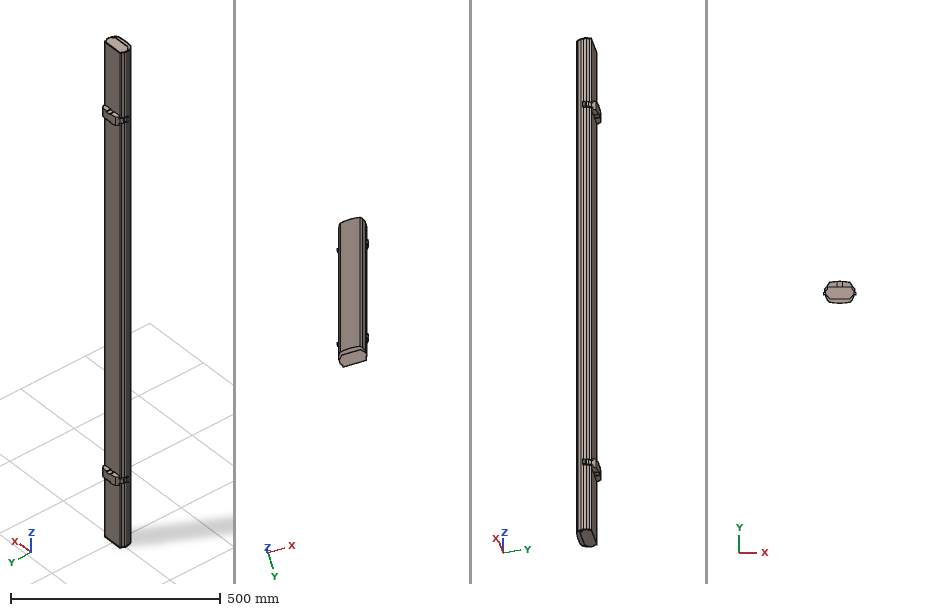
import cadquery as cq

total_length = 1498.7
cap_plate_thickness = 2.0
cap_panel_rise = 1.0
body_length = total_length - 2 * (cap_plate_thickness + cap_panel_rise)

back_half_width = 29.0
back_y = 13.0
bevel_y = 8.5
side_half_width = 33.5
side_back_y = 3.0
side_front_y = -5.0
joint_half_width = 23.5
joint_y = -16.0

lens_rim_y = -10.5
lens_cheek_half_width = 29.0
lens_cheek_y = -20.0
lens_shoulder_half_width = 24.5
lens_shoulder_y = -24.0
lens_arc_half_width = 15.5
lens_arc_y = -25.4
lens_front_y = -26.35

bracket_spacing = 1089.0
clip_height = 14.0
barb_half_width = 38.86
barb_front_y = -6.0
barb_back_y = 0.0
clip_side_half_width = 36.0
clip_bend_y = 8.0
clip_root_half_width = 31.0
clip_root_y = 14.0
pad_height = 27.0
pad_end_rise = 1.0
pad_side_y = 17.0
pad_half_width = 29.0
pad_arc_half_width = 24.0
pad_arc_y = 24.0
pad_back_y = 26.35
notch_width = 13.0
notch_depth = 2.5


housing_half_outline = [
    (joint_half_width, joint_y),
    (side_half_width, side_front_y),
    (side_half_width, side_back_y),
    (back_half_width, bevel_y),
    (back_half_width, back_y),
]

lens_side_outline = [
    (lens_shoulder_half_width, lens_shoulder_y),
    (lens_cheek_half_width, lens_cheek_y),
    (side_half_width, lens_rim_y),
]


def arc_fronted_prism(arc_half_width, arc_y, arc_middle_y, side_outline, height, bottom_z):
    """Extrude a symmetric outline: an arc across X = 0, then the +X side points and their mirror image."""
    outline = (
        cq.Workplane("XY")
        .workplane(offset=bottom_z)
        .moveTo(-arc_half_width, arc_y)
        .threePointArc((0, arc_middle_y), (arc_half_width, arc_y))
    )
    for x, y in side_outline:
        outline = outline.lineTo(x, y)
    for x, y in reversed(side_outline):
        outline = outline.lineTo(-x, y)
    return outline.close().extrude(height)


def flat_prism(half_outline, height, bottom_z):
    """Extrude a straight-sided outline given by its +X half."""
    other_half = [(-x, y) for x, y in reversed(half_outline)]
    outline = cq.Workplane("XY").workplane(offset=bottom_z).polyline(half_outline + other_half)
    return outline.close().extrude(height)


def make_envelope(height, bottom_z):
    """Prism with the outer section of housing and lens together."""
    side_outline = lens_side_outline + housing_half_outline[1:]
    return arc_fronted_prism(
        lens_arc_half_width, lens_arc_y, lens_front_y, side_outline, height, bottom_z
    )


def make_housing():
    return flat_prism(housing_half_outline, body_length, -body_length / 2)


def make_lens(housing):
    """Diffuser that fills the section in front of the housing."""
    return make_envelope(body_length, -body_length / 2).cut(housing)


def make_top_cap():
    """Plate over the whole section, with a raised panel of the housing section."""
    plate_bottom_z = body_length / 2
    plate = make_envelope(cap_plate_thickness, plate_bottom_z)
    panel = flat_prism(housing_half_outline, cap_panel_rise, plate_bottom_z + cap_plate_thickness)
    return plate.union(panel)


def make_bracket_pad():
    """Thick pad behind the housing, with arched ends and a curved back."""
    pad = arc_fronted_prism(
        pad_arc_half_width,
        pad_arc_y,
        pad_back_y,
        [(pad_half_width, pad_side_y), (pad_half_width, back_y)],
        pad_height,
        -pad_height / 2,
    )
    corner_z = pad_height / 2 - pad_end_rise
    arched_block = (
        cq.Workplane("XZ")
        .moveTo(-pad_half_width, corner_z)
        .threePointArc((0, pad_height / 2), (pad_half_width, corner_z))
        .lineTo(pad_half_width, -corner_z)
        .threePointArc((0, -pad_height / 2), (-pad_half_width, -corner_z))
        .close()
        .extrude(-pad_back_y)
    )
    full_channel = cq.Workplane("XY").box(notch_width, 2 * pad_back_y, pad_height)
    kept_web = cq.Workplane("XY").box(notch_width, 2 * pad_back_y, pad_height - 2 * notch_depth)
    end_notches = full_channel.cut(kept_web)
    return pad.intersect(arched_block).cut(end_notches)


def make_bracket(envelope):
    """Clip that hugs the housing sides, joined to the pad behind it."""
    clip = flat_prism(
        [
            (side_half_width, barb_front_y),
            (barb_half_width, barb_front_y),
            (barb_half_width, barb_back_y),
            (clip_side_half_width, barb_back_y),
            (clip_side_half_width, clip_bend_y),
            (clip_root_half_width, clip_root_y),
            (pad_half_width, pad_side_y),
        ],
        clip_height,
        -clip_height / 2,
    )
    return clip.union(make_bracket_pad()).cut(envelope)


housing = make_housing()
lens = make_lens(housing)
top_cap = make_top_cap()
bottom_cap = top_cap.mirror("XY")
bracket = make_bracket(make_envelope(body_length, -body_length / 2))
brackets = [bracket.translate((0, 0, side * bracket_spacing / 2)) for side in (-1, 1)]

result = cq.Compound.makeCompound(
    [housing.val(), lens.val(), top_cap.val(), bottom_cap.val()] + [copy.val() for copy in brackets]
)